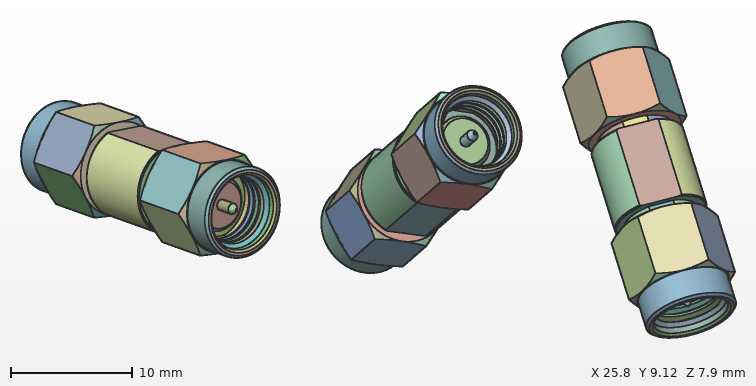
import cadquery as cq
import math


length = 25.8
middle = length / 2

across_flats = 7.9
across_corners = across_flats / math.cos(math.radians(30))
sleeve_radius = 3.87
hex_start = 2.58
hex_end = 8.57
hex_chamfer_angle = 30
mouth_chamfer_depth = 0.2
mouth_chamfer_width = 0.23

mouth_radius = 3.38
bore_radius = 3.17
thread_radius = 2.85
bore_end = 0.72
thread_pitch = 0.72
crest_width = 0.23
thread_root_radius = 3.3
groove_count = 3
end_land = 0.13
mouth_lead_in_depth = mouth_radius - bore_radius
groove_width = thread_pitch - crest_width
thread_start = bore_end + bore_radius - thread_radius
thread_end = thread_start + groove_count * thread_pitch - crest_width + end_land

barrel_length = 7.22
barrel_radius = 3.95
barrel_flat_height = 3.5
barrel_chamfer = 0.1

neck_face = 4.13
neck_flat_height = 3.0
neck_length = middle - barrel_length / 2 - neck_face

plug_radius = 2.3
plug_face_radius = 2.0
plug_face = 3.1
plug_chamfer = plug_radius - plug_face_radius
pin_radius = 0.46
pin_tip_radius = 0.1
pin_tip = 1.03
pin_shoulder = 1.55


def turned(profile):
    """Turn a closed (x, radius) profile around the X axis."""
    return cq.Workplane("XY").polyline(profile).close().revolve(360, (0, 0, 0), (1, 0, 0))


def cylinder(start, size, radius):
    """Solid cylinder along X."""
    return cq.Workplane("YZ", origin=(start, 0, 0)).circle(radius).extrude(size)


def flatted(shape, flat_height):
    """Trim a round shape to two flats, above and below the axis."""
    slab = cq.Workplane("XY").box(2 * length, 2 * across_corners, 2 * flat_height)
    return shape.intersect(slab)


def mirrored(shape):
    """Copy of a left-end shape on the right end."""
    return shape.mirror("YZ", (middle, 0, 0))


def hex_section():
    """Hexagon with its end corners turned down to the across-flats circle."""
    corner_radius = across_corners / 2
    face_radius = across_flats / 2
    chamfer_depth = (corner_radius - face_radius) * math.tan(math.radians(hex_chamfer_angle))
    prism = (
        cq.Workplane("YZ", origin=(hex_start, 0, 0))
        .polygon(6, across_corners)
        .extrude(hex_end - hex_start)
    )
    envelope = turned([
        (hex_start, 0),
        (hex_start, face_radius),
        (hex_start + chamfer_depth, corner_radius),
        (hex_end - chamfer_depth, corner_radius),
        (hex_end, face_radius),
        (hex_end, 0),
    ])
    return prism.intersect(envelope)


def nut_cavity():
    """Mouth lead-in, plain bore, ring-grooved thread, then the bore that carries the neck."""
    profile = [
        (0, 0),
        (0, mouth_radius),
        (mouth_lead_in_depth, bore_radius),
        (bore_end, bore_radius),
    ]
    for groove in range(groove_count):
        groove_start = thread_start + groove * thread_pitch
        profile += [
            (groove_start, thread_radius),
            (groove_start + groove_width / 2, thread_root_radius),
            (groove_start + groove_width, thread_radius),
        ]
    profile += [
        (thread_end, thread_radius),
        (thread_end, bore_radius),
        (hex_end, bore_radius),
        (hex_end, 0),
    ]
    return turned(profile)


def coupling_nut():
    sleeve = turned([
        (0, 0),
        (0, sleeve_radius - mouth_chamfer_width),
        (mouth_chamfer_depth, sleeve_radius),
        (hex_start, sleeve_radius),
        (hex_start, 0),
    ])
    return sleeve.union(hex_section()).cut(nut_cavity())


def core_end():
    """Neck, chamfered plug and pointed pin of the left end."""
    neck = flatted(cylinder(neck_face, neck_length, bore_radius), neck_flat_height)
    plug = turned([
        (plug_face, 0),
        (plug_face, plug_face_radius),
        (plug_face + plug_chamfer, plug_radius),
        (neck_face, plug_radius),
        (neck_face, 0),
    ])
    pin = turned([
        (pin_tip, 0),
        (pin_tip, pin_tip_radius),
        (pin_shoulder, pin_radius),
        (plug_face, pin_radius),
        (plug_face, 0),
    ])
    return neck.union(plug).union(pin)


def adapter_core():
    barrel = cylinder(middle - barrel_length / 2, barrel_length, barrel_radius)
    barrel = flatted(barrel.faces("<X or >X").chamfer(barrel_chamfer), barrel_flat_height)
    left_end = core_end()
    return barrel.union(left_end).union(mirrored(left_end))


core = adapter_core()
left_nut = coupling_nut()
nuts = [left_nut, mirrored(left_nut)]

result = cq.Compound.makeCompound([core.val(), *[nut.val() for nut in nuts]])